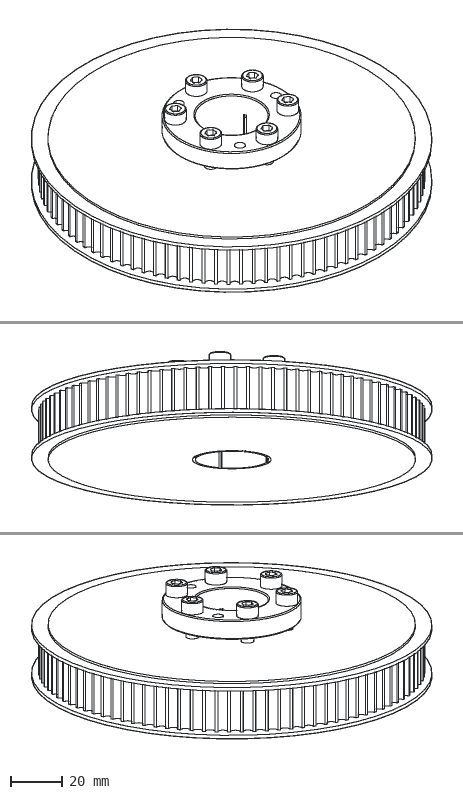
import cadquery as cq
import math


pulley_height = 22.0
tooth_count = 96
tooth_pitch = 5.0
pitch_line_offset = 0.62
pitch_radius = tooth_count * tooth_pitch / (2 * math.pi)
tip_radius = pitch_radius - pitch_line_offset
groove_depth = 2.2
groove_radius = 1.9

flange_outer_radius = 78.5
flange_bend_radius = 76.6
shoulder_radius = 72.0
flange_thickness = 1.5
flange_bend_rise = 0.5
flange_recess = 0.9
tooth_bottom = flange_recess + flange_thickness
tooth_top = pulley_height - tooth_bottom

clamp_gap = 2.5
clamp_thickness = 8.0
clamp_radius = 27.25
clamp_chamfer = 0.5
clamp_bottom = pulley_height + clamp_gap
clamp_top = clamp_bottom + clamp_thickness
collar_radius = 16.0
collar_height = 0.5
collar_bottom = clamp_bottom - collar_height
sleeve_radius = 15.4
bore_radius = 14.3
slit_width = 1.2
slit_top = 23.8
slit_count = 4
jack_hole_diameter = 4.2
jack_hole_angles = (60, 180, 300)

screw_circle_radius = 22.25
screw_angles = range(30, 390, 60)
screw_diameter = 5.0
screw_length = 16.0
head_diameter = 8.5
head_height = 5.0
head_chamfer = 0.4
socket_width = 4.0
socket_depth = 2.5
socket_sides = 6
socket_cone_slope = 30
socket_cone_height = socket_width / 2 * math.tan(math.radians(socket_cone_slope))
screw_tip = clamp_top - screw_length


def polar(radius, degrees):
    angle = math.radians(degrees)
    return (radius * math.cos(angle), radius * math.sin(angle))


def cylinder(radius, bottom, top):
    return cq.Workplane("XY").workplane(offset=bottom).circle(radius).extrude(top - bottom)


def holes_at(angles, diameter, bottom, top):
    centres = [polar(screw_circle_radius, angle) for angle in angles]
    plane = cq.Workplane("XY").workplane(offset=bottom)
    return plane.pushPoints(centres).circle(diameter / 2).extrude(top - bottom)


def turned(point, degrees):
    x, y = point
    angle = math.radians(degrees)
    return (x * math.cos(angle) - y * math.sin(angle), x * math.sin(angle) + y * math.cos(angle))


def mirrored(point):
    return (point[0], -point[1])


def toothed_rim():
    """Toothed band whose grooves have parallel walls and a half-round bottom."""
    wall_top = (math.sqrt(tip_radius**2 - groove_radius**2), groove_radius)
    groove_bottom = (tip_radius - groove_depth, 0)
    wall_bottom = (groove_bottom[0] + groove_radius, groove_radius)

    step = 360 / tooth_count
    outline = cq.Workplane("XY").workplane(offset=tooth_bottom).moveTo(*mirrored(wall_top))
    for index in range(tooth_count):
        turn = index * step
        outline = (
            outline
            .lineTo(*turned(mirrored(wall_bottom), turn))
            .threePointArc(turned(groove_bottom, turn), turned(wall_bottom, turn))
            .lineTo(*turned(wall_top, turn))
            .threePointArc(polar(tip_radius, turn + step / 2), turned(mirrored(wall_top), turn + step))
        )
    return outline.close().extrude(tooth_top - tooth_bottom)


def make_pulley():
    body = cylinder(shoulder_radius, 0, pulley_height).union(toothed_rim())
    body = body.cut(cylinder(sleeve_radius, 0, pulley_height))
    return body.cut(holes_at(screw_angles, screw_diameter, screw_tip, pulley_height))


def make_upper_flange():
    outer_face = pulley_height - flange_recess
    section = [
        (shoulder_radius, tooth_top),
        (flange_bend_radius, tooth_top),
        (flange_outer_radius, tooth_top + flange_bend_rise),
        (flange_outer_radius, outer_face + flange_bend_rise),
        (flange_bend_radius, outer_face),
        (shoulder_radius, outer_face),
    ]
    return cq.Workplane("XZ").polyline(section).close().revolve(360, (0, 0), (0, 1))


def make_lower_flange():
    return make_upper_flange().mirror("XY", (0, 0, pulley_height / 2))


def make_bush():
    section = [
        (bore_radius, 0),
        (sleeve_radius, 0),
        (sleeve_radius, collar_bottom),
        (collar_radius, collar_bottom),
        (collar_radius, clamp_bottom),
        (clamp_radius - clamp_chamfer, clamp_bottom),
        (clamp_radius, clamp_bottom + clamp_chamfer),
        (clamp_radius, clamp_top - clamp_chamfer),
        (clamp_radius - clamp_chamfer, clamp_top),
        (bore_radius + clamp_chamfer, clamp_top),
        (bore_radius, clamp_top - clamp_chamfer),
    ]
    body = cq.Workplane("XZ").polyline(section).close().revolve(360, (0, 0), (0, 1))

    slit = cq.Workplane("XY").box(collar_radius, slit_width, slit_top, centered=(False, True, False))
    for index in range(slit_count):
        body = body.cut(slit.rotate((0, 0, 0), (0, 0, 1), index * 360 / slit_count))

    body = body.cut(holes_at(jack_hole_angles, jack_hole_diameter, clamp_bottom, clamp_top))
    return body.cut(holes_at(screw_angles, screw_diameter, clamp_bottom, clamp_top))


def make_screw(angle):
    """Socket head screw seated on the bush, with a hexagonal socket that ends in a cone."""
    head_top = clamp_top + head_height
    head = cylinder(head_diameter / 2, clamp_top, head_top).faces(">Z").chamfer(head_chamfer)
    shank = cylinder(screw_diameter / 2, screw_tip, clamp_top)
    corner_diameter = socket_width / math.cos(math.pi / socket_sides)
    socket_floor = head_top - socket_depth
    socket = (
        cq.Workplane("XY").workplane(offset=socket_floor)
        .polygon(socket_sides, corner_diameter).extrude(socket_depth)
        .rotate((0, 0, 0), (0, 0, 1), 90)
    )
    cone = cq.Solid.makeCone(
        0, socket_width / 2, socket_cone_height, pnt=cq.Vector(0, 0, socket_floor - socket_cone_height)
    )
    screw = head.union(shank).cut(socket).cut(cq.Workplane(cone))
    x, y = polar(screw_circle_radius, angle)
    return screw.translate((x, y, 0))


pulley = make_pulley()
upper_flange = make_upper_flange()
lower_flange = make_lower_flange()
bush = make_bush()
screws = [make_screw(angle).val() for angle in screw_angles]

result = cq.Compound.makeCompound(
    [pulley.val(), upper_flange.val(), lower_flange.val(), bush.val(), *screws]
)